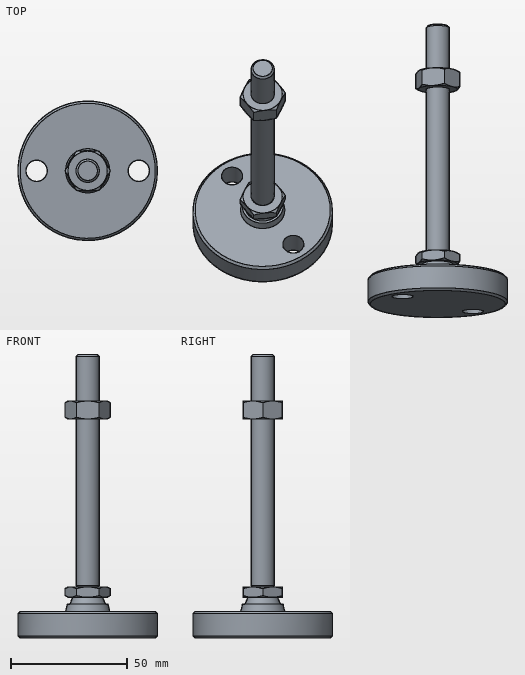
import cadquery as cq
import math


BASE_DIAMETER = 60.0
BASE_HEIGHT = 11.6
BASE_CHAMFER = 1.0
HUB_BOTTOM_RADIUS = 9.5
HUB_TOP_RADIUS = 8.8
HUB_HEIGHT = 3.0
MOUNTING_HOLE_DIAMETER = 9.0
MOUNTING_HOLE_OFFSET = 22.0

HEX_ACROSS_FLATS = 17.0
HEX_CORNER_RADIUS = HEX_ACROSS_FLATS / math.sqrt(3)
HEX_FACE_RADIUS = 8.4
HEX_CHAMFER_ANGLE = 30

TOTAL_HEIGHT = 122.0
SHAFT_RADIUS = 5.0
SHAFT_CHAMFER = 0.9
FOOT_BOTTOM_RADIUS = 7.7
FOOT_TOP_RADIUS = 6.5
FOOT_HEIGHT = 2.9
SPINDLE_HEX_HEIGHT = 4.5
NECK_RADIUS = 4.5
NECK_HEIGHT = 0.6

NUT_HEIGHT = 7.8
NUT_TOP_DEPTH = 20.0

HUB_TOP = BASE_HEIGHT + HUB_HEIGHT
SPINDLE_HEX_BOTTOM = HUB_TOP + FOOT_HEIGHT
SPINDLE_HEX_TOP = SPINDLE_HEX_BOTTOM + SPINDLE_HEX_HEIGHT
NUT_BOTTOM = TOTAL_HEIGHT - NUT_TOP_DEPTH - NUT_HEIGHT


def revolve_about_z(profile):
    """Revolve a closed outline of (radius, z) points about the Z axis."""
    return cq.Workplane("XZ").polyline(profile).close().revolve(360, (0, 0), (0, 1))


def make_chamfered_hexagon(bottom, height):
    """Hexagonal prism with corners along X, turned conically at both end faces."""
    top = bottom + height
    drop = (HEX_CORNER_RADIUS - HEX_FACE_RADIUS) * math.tan(math.radians(HEX_CHAMFER_ANGLE))
    prism = (
        cq.Workplane("XY")
        .workplane(offset=bottom)
        .polygon(6, 2 * HEX_CORNER_RADIUS)
        .extrude(height)
    )
    envelope = revolve_about_z([
        (0, bottom),
        (HEX_FACE_RADIUS, bottom),
        (HEX_CORNER_RADIUS, bottom + drop),
        (HEX_CORNER_RADIUS, top - drop),
        (HEX_FACE_RADIUS, top),
        (0, top),
    ])
    return prism.intersect(envelope)


def make_base():
    """Chamfered disc with a tapered hub and two mounting holes through it."""
    disc = (
        cq.Workplane("XY")
        .circle(BASE_DIAMETER / 2)
        .extrude(BASE_HEIGHT)
        .edges()
        .chamfer(BASE_CHAMFER)
    )
    hub = revolve_about_z([
        (0, BASE_HEIGHT),
        (HUB_BOTTOM_RADIUS, BASE_HEIGHT),
        (HUB_TOP_RADIUS, HUB_TOP),
        (0, HUB_TOP),
    ])
    holes = (
        cq.Workplane("XY")
        .pushPoints([(-MOUNTING_HOLE_OFFSET, 0), (MOUNTING_HOLE_OFFSET, 0)])
        .circle(MOUNTING_HOLE_DIAMETER / 2)
        .extrude(BASE_HEIGHT)
    )
    return disc.union(hub).cut(holes)


def make_spindle():
    """Conical foot, hexagon, tapered neck and long shaft in one piece."""
    foot = revolve_about_z([
        (0, HUB_TOP),
        (FOOT_BOTTOM_RADIUS, HUB_TOP),
        (FOOT_TOP_RADIUS, SPINDLE_HEX_BOTTOM),
        (0, SPINDLE_HEX_BOTTOM),
    ])
    hexagon = make_chamfered_hexagon(SPINDLE_HEX_BOTTOM, SPINDLE_HEX_HEIGHT)
    shaft = revolve_about_z([
        (0, SPINDLE_HEX_TOP),
        (NECK_RADIUS, SPINDLE_HEX_TOP),
        (SHAFT_RADIUS, SPINDLE_HEX_TOP + NECK_HEIGHT),
        (SHAFT_RADIUS, TOTAL_HEIGHT - SHAFT_CHAMFER),
        (SHAFT_RADIUS - SHAFT_CHAMFER, TOTAL_HEIGHT),
        (0, TOTAL_HEIGHT),
    ])
    return foot.union(hexagon).union(shaft)


def make_nut():
    """Lock nut whose plain bore fits the shaft."""
    bore = (
        cq.Workplane("XY")
        .workplane(offset=NUT_BOTTOM)
        .circle(SHAFT_RADIUS)
        .extrude(NUT_HEIGHT)
    )
    return make_chamfered_hexagon(NUT_BOTTOM, NUT_HEIGHT).cut(bore)


base = make_base()
spindle = make_spindle()
nut = make_nut()

result = cq.Compound.makeCompound([base.val(), spindle.val(), nut.val()])